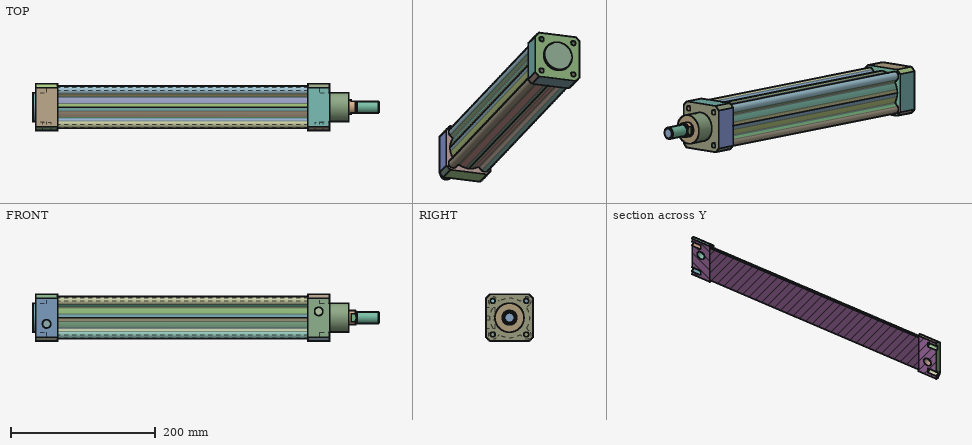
import cadquery as cq
import math


overall_length = 479.0
boss_length = 4.0
cap_length = 30.0
barrel_length = 346.5
neck_length = 27.0
rear_cap_start = boss_length
barrel_start = rear_cap_start + cap_length
front_cap_start = barrel_start + barrel_length
neck_start = front_cap_start + cap_length
rod_start = neck_start + neck_length

cap_side = 65.0
cap_corner_diameter = 84.5
boss_diameter = 40.0
tie_spacing = 46.5
tie_hole_diameter = 6.5
tie_hole_depth = 14.5
port_diameter = 11.5
port_depth = 12.0
port_offset = 8.5

barrel_radius = 27.5
rib_radius = 6.0
rib_reach = tie_spacing / math.sqrt(2)
rib_root_fillet = 1.0
ridge_half_width = 5.5

rod_diameter = 20.0
flats_width = 17.0
flats_inset = 3.0
shoulder_length = 8.5
taper_length = 1.5
collar_length = 1.5
collar_diameter = flats_width
thread_diameter = 16.5
tip_chamfer = 1.5
flats_start = rod_start + flats_inset
taper_start = rod_start + shoulder_length
collar_start = taper_start + taper_length
thread_start = collar_start + collar_length


def section_at(x):
    """Workplane across the axis at x, facing +X."""
    return cq.Workplane("YZ", origin=(x, 0, 0))


def end_cap(start, boss_start, boss_depth, hole_face, hole_direction, port_height):
    """Square cap with corners turned about the axis, a boss, four tie holes and a port in its -Y face."""
    block = section_at(start).rect(cap_side, cap_side).extrude(cap_length)
    turned_outside = section_at(start).circle(cap_corner_diameter / 2).extrude(cap_length)
    block = block.intersect(turned_outside)
    boss = section_at(boss_start).circle(boss_diameter / 2).extrude(boss_depth)
    tie_holes = (
        section_at(hole_face)
        .rect(tie_spacing, tie_spacing, forConstruction=True)
        .vertices()
        .circle(tie_hole_diameter / 2)
        .extrude(hole_direction * tie_hole_depth)
    )
    port = (
        cq.Workplane("XZ", origin=(start + cap_length / 2, -cap_side / 2, port_height))
        .circle(port_diameter / 2)
        .extrude(-port_depth)
    )
    return block.union(boss).cut(tie_holes).cut(port)


def ridge(angle):
    """Shallow ridge along the barrel, formed by two planes tangent to the tube that meet in a crest."""
    tangent_angle = math.asin(ridge_half_width / barrel_radius)
    tangent_height = barrel_radius * math.cos(tangent_angle)
    crest_height = barrel_radius / math.cos(tangent_angle)
    wedge = (
        section_at(barrel_start)
        .polyline(
            [
                (0, 0),
                (ridge_half_width, tangent_height),
                (0, crest_height),
                (-ridge_half_width, tangent_height),
            ]
        )
        .close()
        .extrude(barrel_length)
    )
    return wedge.rotate((0, 0, 0), (1, 0, 0), angle)


def is_rib_root(edge):
    """True for an edge on the tube surface away from the ridges, where a rib flank meets the tube."""
    middle = edge.Center()
    on_tube = math.isclose(math.hypot(middle.y, middle.z), barrel_radius, rel_tol=1e-4)
    return on_tube and min(abs(middle.y), abs(middle.z)) > ridge_half_width


def ribbed_barrel():
    """Solid barrel with a ridge on each side and a round-ended rib along each diagonal."""
    barrel = section_at(barrel_start).circle(barrel_radius).extrude(barrel_length)
    for angle in (45, 135):
        rib_pair = (
            section_at(barrel_start)
            .slot2D(2 * (rib_reach + rib_radius), 2 * rib_radius, angle)
            .extrude(barrel_length)
        )
        barrel = barrel.union(rib_pair)
    rib_roots = barrel.edges("|X").filter(is_rib_root)
    barrel = rib_roots.fillet(rib_root_fillet)
    for angle in (0, 90, 180, 270):
        barrel = barrel.union(ridge(angle))
    return barrel


def piston_rod():
    """Rod with wrench flats on +Y and -Y, then a taper and a collar before the chamfered thread end."""
    thread_radius = thread_diameter / 2
    outline = [
        (rod_start, 0),
        (rod_start, rod_diameter / 2),
        (taper_start, rod_diameter / 2),
        (collar_start, collar_diameter / 2),
        (thread_start, collar_diameter / 2),
        (thread_start, thread_radius),
        (overall_length - tip_chamfer, thread_radius),
        (overall_length, thread_radius - tip_chamfer),
        (overall_length, 0),
    ]
    rod = cq.Workplane("XY").polyline(outline).close().revolve(360, (0, 0, 0), (1, 0, 0))
    flats_length = thread_start - flats_start
    kept = section_at(flats_start).rect(flats_width, rod_diameter).extrude(flats_length)
    removed = section_at(flats_start).circle(rod_diameter).extrude(flats_length).cut(kept)
    return rod.cut(removed)


rear_cap = end_cap(
    start=rear_cap_start,
    boss_start=0,
    boss_depth=boss_length,
    hole_face=rear_cap_start,
    hole_direction=1,
    port_height=-port_offset,
)
front_cap = end_cap(
    start=front_cap_start,
    boss_start=neck_start,
    boss_depth=neck_length,
    hole_face=neck_start,
    hole_direction=-1,
    port_height=port_offset,
)
barrel = ribbed_barrel()
rod = piston_rod()

result = cq.Compound.makeCompound([rear_cap.val(), front_cap.val(), barrel.val(), rod.val()])